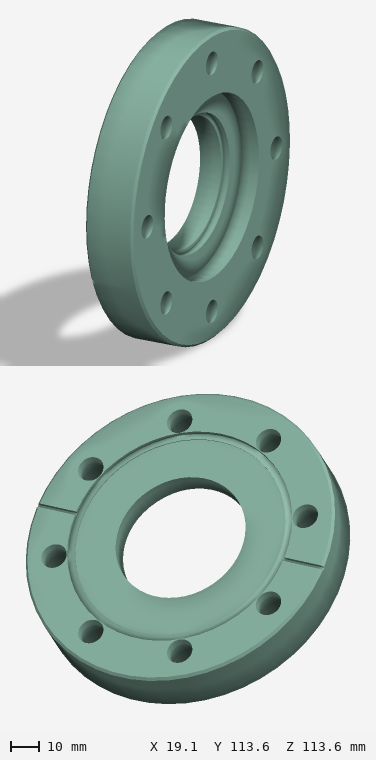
import cadquery as cq
import math

ring_radius = 56.8
ring_thickness = 19.1
rim_chamfer = 0.9
ring_bore_radius = 33.7

bolt_count = 8
bolt_circle_radius = 46.1
bolt_hole_radius = 4.2
countersink_radius = 4.7
countersink_depth = 3.0

groove_width = 1.4
groove_depth = 1.4
groove_tilt = 22.5
groove_count = 2

shoulder_radius = 41.3
shoulder_back = 9.5
hub_back = 12.0
bore_radius = 23.8
tube_socket_radius = 25.4
tube_stop = 9.5

knife_radius = 38.6
knife_tip = 0.7
knife_slope = 20.0
center_face = 1.0
knife_root = knife_tip + (shoulder_radius - knife_radius) * math.tan(math.radians(knife_slope))


def turned(profile):
    """Revolve a closed (x, radius) outline about the X axis."""
    return cq.Workplane("XZ").polyline(profile).close().revolve(360, (0, 0, 0), (1, 0, 0))


def make_bolt_hole():
    """Cutter for one bolt hole, at the top of the bolt circle."""
    hole = turned([
        (0, 0),
        (0, countersink_radius),
        (countersink_depth, bolt_hole_radius),
        (ring_thickness, bolt_hole_radius),
        (ring_thickness, 0),
    ])
    return hole.translate((0, 0, bolt_circle_radius))


def make_leak_groove():
    """Cutter for one groove, running from the recess to the rim along +Y."""
    groove = cq.Workplane("XY").box(
        groove_depth, ring_radius, groove_width, centered=(False, False, True)
    )
    return groove.translate((0, shoulder_radius - groove_width, 0))


def make_ring():
    ring = turned([
        (0, shoulder_radius),
        (0, ring_radius - rim_chamfer),
        (rim_chamfer, ring_radius),
        (ring_thickness - rim_chamfer, ring_radius),
        (ring_thickness, ring_radius - rim_chamfer),
        (ring_thickness, ring_bore_radius),
        (shoulder_back, ring_bore_radius),
        (shoulder_back, shoulder_radius),
    ])
    for i in range(bolt_count):
        angle = i * 360 / bolt_count
        ring = ring.cut(make_bolt_hole().rotate((0, 0, 0), (1, 0, 0), angle))
    for i in range(groove_count):
        angle = groove_tilt + i * 360 / groove_count
        ring = ring.cut(make_leak_groove().rotate((0, 0, 0), (1, 0, 0), angle))
    return ring


def make_insert():
    return turned([
        (center_face, bore_radius),
        (center_face, knife_radius),
        (knife_tip, knife_radius),
        (knife_root, shoulder_radius),
        (shoulder_back, shoulder_radius),
        (shoulder_back, ring_bore_radius),
        (hub_back, ring_bore_radius),
        (hub_back, tube_socket_radius),
        (tube_stop, tube_socket_radius),
        (tube_stop, bore_radius),
    ])


ring = make_ring()
insert = make_insert()

result = cq.Compound.makeCompound([ring.val(), insert.val()])